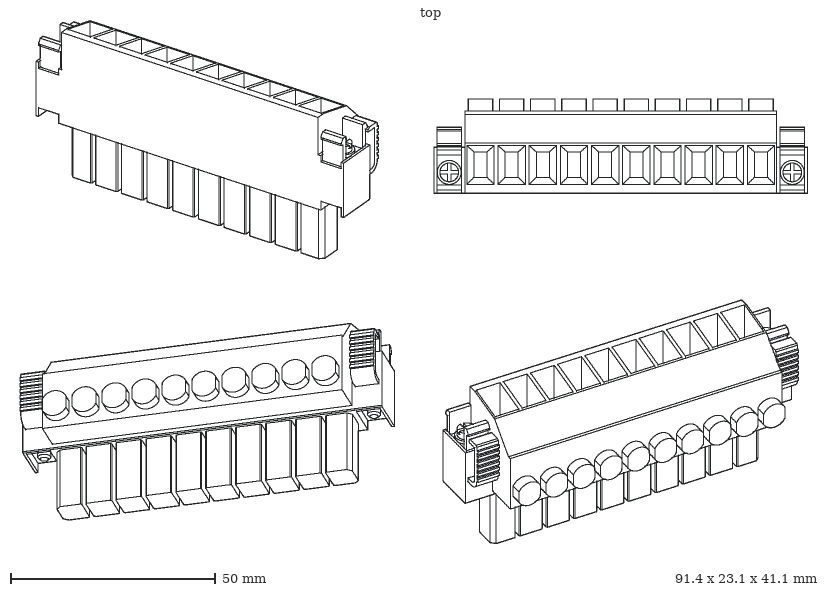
import cadquery as cq
import math


POLE_COUNT = 10
BODY_LENGTH = 76.3
POLE_PITCH = BODY_LENGTH / POLE_COUNT
ROW_START = -POLE_PITCH * (POLE_COUNT - 1) / 2
POLE_CENTRES = [ROW_START + POLE_PITCH * i for i in range(POLE_COUNT)]

LENGTH = 91.4
BODY_DEPTH = 20.2
BODY_HEIGHT = 25.6
BODY_REAR_BOTTOM = 1.3
BODY_REAR_TOP = 16.3
REAR_LEDGE = 0.9
SLOPE_TOP_Y = 12.3
SLOPE_TOP_Z = 23.3
FRONT_LEDGE = 2.5
FLANGE_DEPTH = 11.3
FLANGE_HEIGHT = 15.2
FLANGE_EDGE_CHAMFER = 0.3

FUNNEL_WIDTH = 6.7
FUNNEL_FRONT = 2.2
FUNNEL_REAR = 11.7
FUNNEL_TAPER_TOP = 11.0
FUNNEL_TAPER_HEIGHT = 3.0
FUNNEL_FLOOR_WIDTH = 3.2
FUNNEL_FLOOR_FRONT = 3.9
FUNNEL_FLOOR_REAR = 10.15

POST_LENGTH = 15.5
POST_WIDTH = 6.6
POST_FRONT = 2.65
POST_REAR = 10.2
POST_CHAMFER = 0.3
ROW_END_CHAMFER = 1.1

BUTTON_RADIUS = 3.4
BUTTON_WIDTH = 6.0
BUTTON_LENGTH = 2.9
BUTTON_Z = 6.3

LATCH_X = 42.0
LATCH_CENTRES = [-LATCH_X, LATCH_X]
LATCH_WIDTH = 6.0
LATCH_FRONT = 0.8
LATCH_REAR = 10.6
ARM_THICKNESS = 1.3
ARM_TOP = 21.5
HOOK_TIP_TOP = 20.3
HOOK_TIP_BOTTOM = 19.8
HOOK_ROOT = 19.7
HOOK_REACH = 0.8
BASE_BOTTOM = 13.4
BASE_THICKNESS = 1.4

LEVER_BOTTOM = 6.3
LEVER_TOP = 19.6
LEVER_THICKNESS = 1.2
LEVER_REAR = 15.6
LEVER_TIP_Y = 11.7
LEVER_TIP_CHAMFER = 0.55
LEVER_TOP_CHAMFER = 0.4
LEVER_BEND_RADIUS = 2.6
TOOTH_COUNT = 6
TOOTH_PITCH = 1.65
TOOTH_HEIGHT = 0.55
TOOTH_THICKNESS = 0.8
FIRST_TOOTH_Z = 9.5

SCREW_Y = 5.1
SCREW_TIP_Z = 0.7
SCREW_TIP_CHAMFER = 0.55
SHANK_DIAMETER = 3.2
COLLAR_DIAMETER = 5.85
COLLAR_TOP = 15.6
HEAD_DIAMETER = 4.6
HEAD_TOP = 17.6
SLOT_WIDTH = 0.8
SLOT_DEPTH = 0.9
NOTCH_HEIGHT = 2.5

BASE_TOP = BASE_BOTTOM + BASE_THICKNESS


def box(x_range, y_range, z_range):
    """Box between the given low and high corners."""
    sizes = [high - low for low, high in (x_range, y_range, z_range)]
    corner = (x_range[0], y_range[0], z_range[0])
    return cq.Workplane("XY").box(*sizes, centered=False).translate(corner)


def prism_along_x(points, centre_x, width):
    """Prism with a (Y, Z) outline, centred on centre_x."""
    outline = cq.Workplane("YZ", origin=(centre_x, 0, 0)).polyline(points).close()
    return outline.extrude(width / 2, both=True)


def latch_span(centre_x):
    """Low and high X of a latch."""
    return (centre_x - LATCH_WIDTH / 2, centre_x + LATCH_WIDTH / 2)


def make_body():
    """Main body with a lower flange at each end."""
    main = prism_along_x(
        [
            (0, 0),
            (FLANGE_DEPTH - FLANGE_EDGE_CHAMFER, 0),
            (FLANGE_DEPTH, FLANGE_EDGE_CHAMFER),
            (FLANGE_DEPTH, BODY_REAR_BOTTOM),
            (BODY_DEPTH, BODY_REAR_BOTTOM),
            (BODY_DEPTH, BODY_REAR_TOP),
            (BODY_DEPTH - REAR_LEDGE, BODY_REAR_TOP),
            (SLOPE_TOP_Y, SLOPE_TOP_Z),
            (FRONT_LEDGE, BODY_HEIGHT),
            (0, BODY_HEIGHT),
        ],
        0,
        BODY_LENGTH,
    )
    flanges = prism_along_x(
        [
            (0, 0),
            (FLANGE_DEPTH - FLANGE_EDGE_CHAMFER, 0),
            (FLANGE_DEPTH, FLANGE_EDGE_CHAMFER),
            (FLANGE_DEPTH, FLANGE_HEIGHT),
            (0, FLANGE_HEIGHT),
        ],
        0,
        LENGTH,
    )
    return main.union(flanges)


def make_funnel(x):
    """Straight-sided wire entry that tapers at the bottom to a smaller flat floor."""
    half_width = FUNNEL_WIDTH / 2
    shaft = box(
        (x - half_width, x + half_width),
        (FUNNEL_FRONT, FUNNEL_REAR),
        (FUNNEL_TAPER_TOP, BODY_HEIGHT),
    )
    floor_middle = (FUNNEL_FLOOR_FRONT + FUNNEL_FLOOR_REAR) / 2
    mouth_middle = (FUNNEL_FRONT + FUNNEL_REAR) / 2
    taper = (
        cq.Workplane("XY", origin=(x, floor_middle, FUNNEL_TAPER_TOP - FUNNEL_TAPER_HEIGHT))
        .rect(FUNNEL_FLOOR_WIDTH, FUNNEL_FLOOR_REAR - FUNNEL_FLOOR_FRONT)
        .workplane(offset=FUNNEL_TAPER_HEIGHT)
        .center(0, mouth_middle - floor_middle)
        .rect(FUNNEL_WIDTH, FUNNEL_REAR - FUNNEL_FRONT)
        .loft(ruled=True)
    )
    return shaft.union(taper)


def make_post(index):
    """Contact post; the outer corners at each end of the row are cut back further."""
    x = POLE_CENTRES[index]
    x_range = (x - POST_WIDTH / 2, x + POST_WIDTH / 2)
    post = box(x_range, (POST_FRONT, POST_REAR), (-POST_LENGTH, 0))
    left_chamfer = ROW_END_CHAMFER if index == 0 else POST_CHAMFER
    right_chamfer = ROW_END_CHAMFER if index == POLE_COUNT - 1 else POST_CHAMFER
    post = post.faces("<X").edges("|Z").chamfer(left_chamfer)
    return post.faces(">X").edges("|Z").chamfer(right_chamfer)


def make_button(x):
    """Round button with flat sides."""
    button = (
        cq.Workplane("XZ", origin=(x, BODY_DEPTH, BUTTON_Z))
        .circle(BUTTON_RADIUS)
        .extrude(-BUTTON_LENGTH)
    )
    between_flats = box(
        (x - BUTTON_WIDTH / 2, x + BUTTON_WIDTH / 2),
        (BODY_DEPTH, BODY_DEPTH + BUTTON_LENGTH),
        (BUTTON_Z - BUTTON_RADIUS, BUTTON_Z + BUTTON_RADIUS),
    )
    return button.intersect(between_flats)


def make_screw_hole(centre_x):
    """Shank clearance from the bottom notch up through the latch base."""
    return (
        cq.Workplane("XY", origin=(centre_x, SCREW_Y, NOTCH_HEIGHT))
        .circle(SHANK_DIAMETER / 2)
        .extrude(BASE_TOP - NOTCH_HEIGHT)
    )


def make_latch_space(centre_x):
    """Everything removed from a flange for its latch and screw."""
    span = latch_span(centre_x)
    pocket = box(span, (0, LATCH_REAR), (BASE_BOTTOM, FLANGE_HEIGHT))
    rear_slot = box(span, (LATCH_REAR - ARM_THICKNESS, LATCH_REAR), (LEVER_BOTTOM, FLANGE_HEIGHT))
    lever_window = box(span, (LATCH_REAR, FLANGE_DEPTH), (LEVER_BOTTOM, LEVER_BOTTOM + LEVER_THICKNESS))
    screw_notch = box(span, (0, SCREW_Y * 2), (0, NOTCH_HEIGHT))
    space = pocket
    for part in (rear_slot, lever_window, screw_notch, make_screw_hole(centre_x)):
        space = space.union(part)
    return space


def make_housing():
    housing = make_body()
    for index, x in enumerate(POLE_CENTRES):
        housing = housing.cut(make_funnel(x)).union(make_post(index)).union(make_button(x))
    for x in LATCH_CENTRES:
        housing = housing.cut(make_latch_space(x))
    return housing


def make_clip(centre_x):
    """Two hooked arms joined by a base plate; the rear arm reaches down to the lever."""
    front_inner = LATCH_FRONT + ARM_THICKNESS
    rear_inner = LATCH_REAR - ARM_THICKNESS
    return prism_along_x(
        [
            (LATCH_FRONT, BASE_BOTTOM),
            (rear_inner, BASE_BOTTOM),
            (rear_inner, LEVER_BOTTOM),
            (LATCH_REAR, LEVER_BOTTOM),
            (LATCH_REAR, HOOK_ROOT),
            (LATCH_REAR + HOOK_REACH, HOOK_TIP_BOTTOM),
            (LATCH_REAR + HOOK_REACH, HOOK_TIP_TOP),
            (LATCH_REAR, ARM_TOP),
            (rear_inner, ARM_TOP),
            (rear_inner, BASE_TOP),
            (front_inner, BASE_TOP),
            (front_inner, ARM_TOP),
            (LATCH_FRONT, ARM_TOP),
            (LATCH_FRONT - HOOK_REACH, HOOK_TIP_TOP),
            (LATCH_FRONT - HOOK_REACH, HOOK_TIP_BOTTOM),
            (LATCH_FRONT, HOOK_ROOT),
        ],
        centre_x,
        LATCH_WIDTH,
    )


def make_lever(centre_x):
    """Strip that runs back from the rear arm, bends up and folds forward at the top."""
    inner_rear = LEVER_REAR - LEVER_THICKNESS
    inner_bottom = LEVER_BOTTOM + LEVER_THICKNESS
    inner_radius = LEVER_BEND_RADIUS - LEVER_THICKNESS
    bend_y = LEVER_REAR - LEVER_BEND_RADIUS
    bend_z = LEVER_BOTTOM + LEVER_BEND_RADIUS
    diagonal = math.sqrt(0.5)
    strip = (
        cq.Workplane("YZ", origin=(centre_x, 0, 0))
        .moveTo(LATCH_REAR, LEVER_BOTTOM)
        .lineTo(bend_y, LEVER_BOTTOM)
        .threePointArc(
            (bend_y + LEVER_BEND_RADIUS * diagonal, bend_z - LEVER_BEND_RADIUS * diagonal),
            (LEVER_REAR, bend_z),
        )
        .lineTo(LEVER_REAR, LEVER_TOP - LEVER_TOP_CHAMFER)
        .lineTo(LEVER_REAR - LEVER_TOP_CHAMFER, LEVER_TOP)
        .lineTo(LEVER_TIP_Y + LEVER_TIP_CHAMFER, LEVER_TOP)
        .lineTo(LEVER_TIP_Y, LEVER_TOP - LEVER_TIP_CHAMFER)
        .lineTo(LEVER_TIP_Y, LEVER_TOP - LEVER_THICKNESS)
        .lineTo(inner_rear, LEVER_TOP - LEVER_THICKNESS)
        .lineTo(inner_rear, bend_z)
        .threePointArc(
            (bend_y + inner_radius * diagonal, bend_z - inner_radius * diagonal),
            (bend_y, inner_bottom),
        )
        .lineTo(LATCH_REAR, inner_bottom)
        .close()
        .extrude(LATCH_WIDTH / 2, both=True)
    )
    for i in range(TOOTH_COUNT):
        strip = strip.union(make_tooth(centre_x, FIRST_TOOTH_Z + TOOTH_PITCH * i))
    return strip


def make_tooth(centre_x, z):
    """Grip rib across the back of the lever."""
    return box(
        latch_span(centre_x),
        (LEVER_REAR, LEVER_REAR + TOOTH_HEIGHT),
        (z - TOOTH_THICKNESS / 2, z + TOOTH_THICKNESS / 2),
    )


def make_latch(centre_x):
    latch = make_clip(centre_x).union(make_lever(centre_x))
    return latch.cut(make_screw_hole(centre_x))


def make_screw(centre_x):
    """Screw with a flat collar and a cross slot in its head."""
    shank_radius = SHANK_DIAMETER / 2
    screw = (
        cq.Workplane("XZ")
        .polyline(
            [
                (0, SCREW_TIP_Z),
                (shank_radius - SCREW_TIP_CHAMFER, SCREW_TIP_Z),
                (shank_radius, SCREW_TIP_Z + SCREW_TIP_CHAMFER),
                (shank_radius, BASE_TOP),
                (COLLAR_DIAMETER / 2, BASE_TOP),
                (COLLAR_DIAMETER / 2, COLLAR_TOP),
                (HEAD_DIAMETER / 2, COLLAR_TOP),
                (HEAD_DIAMETER / 2, HEAD_TOP),
                (0, HEAD_TOP),
            ]
        )
        .close()
        .revolve(360, (0, 0, 0), (0, 1, 0))
    )
    slot_z = HEAD_TOP - SLOT_DEPTH / 2
    slot = cq.Workplane("XY").box(HEAD_DIAMETER, SLOT_WIDTH, SLOT_DEPTH).translate((0, 0, slot_z))
    for angle in (0, 90):
        screw = screw.cut(slot.rotate((0, 0, 0), (0, 0, 1), angle))
    return screw.translate((centre_x, SCREW_Y, 0))


housing = make_housing()
latches = [make_latch(x) for x in LATCH_CENTRES]
screws = [make_screw(x) for x in LATCH_CENTRES]

result = cq.Compound.makeCompound(
    [housing.val()] + [latch.val() for latch in latches] + [screw.val() for screw in screws]
)